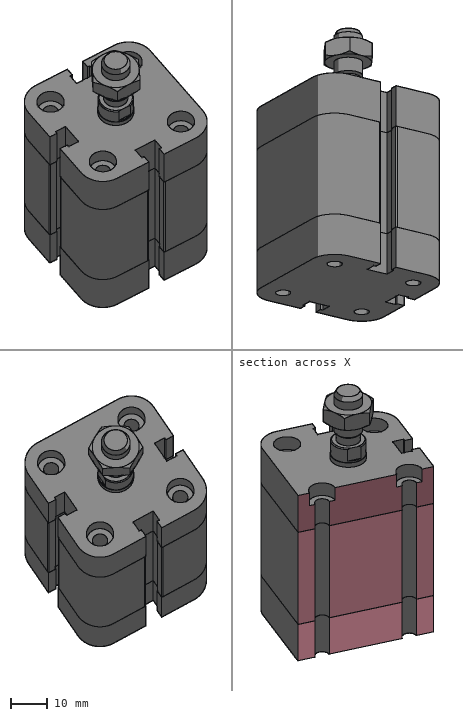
import cadquery as cq
import math

TOTAL_HEIGHT = 76.0
BODY_SIDE = 40.5
CORNER_RADIUS = 7.2

CAP_HEIGHT = 12.0
BARREL_HEIGHT = 30.0
BARREL_BASE = CAP_HEIGHT
FRONT_CAP_BASE = BARREL_BASE + BARREL_HEIGHT
BODY_TOP = FRONT_CAP_BASE + CAP_HEIGHT

SLOT_MOUTH_WIDTH = 5.1
SLOT_INNER_WIDTH = 6.5
SLOT_DEPTH = 5.7
CAP_LIP = 2.4
BARREL_LIP = 2.3
BARREL_CHAMFER_WIDTH = 0.45
BARREL_CHAMFER_DEPTH = 0.2
SLOT_ANGLES = (0, 180, 270)

HOLE_SPACING = 26.0
HOLE_DIAMETER = 4.2
COUNTERBORE_DIAMETER = 7.5
COUNTERBORE_DEPTH = 4.1

ROD_DIAMETER = 10.0
ROD_COLLAR = 1.45
SHOULDER_DIAMETER = 9.8
SHOULDER_TOP = 6.0
SHOULDER_CHAMFER = 0.3
FLATS_WIDTH = 9.0
FLATS_BASE = 2.0
NECK_DIAMETER = 6.8
THREAD_BASE = 8.4
THREAD_DIAMETER = 8.0
TIP_DIAMETER = 6.45
TIP_CHAMFER_HEIGHT = 1.4

NUT_WIDTH = 13.0
NUT_BASE = 13.0
NUT_HEIGHT = 5.0
NUT_FACE_DIAMETER = NUT_WIDTH
NUT_CHAMFER_ANGLE = 30


def slot_cutter(height, lip, chamfer_width, chamfer_depth):
    """T-slot opening through the +X side, with optionally chamfered mouth edges."""
    outer = BODY_SIDE / 2
    floor = outer - SLOT_DEPTH
    shelf = outer - lip
    mouth = SLOT_MOUTH_WIDTH / 2
    inner = SLOT_INNER_WIDTH / 2
    half = [(floor, inner), (shelf, inner), (shelf, mouth)]
    if chamfer_depth > 0:
        half.append((outer - chamfer_depth, mouth))
    half.append((outer, mouth + chamfer_width))
    mirrored = [(x, -y) for x, y in reversed(half)]
    return cq.Workplane("XY").polyline(half + mirrored).close().extrude(height)


def square_section(base, height, lip, chamfer_width=0.0, chamfer_depth=0.0):
    """Rounded square block with T-slots in three sides and four corner holes."""
    block = cq.Workplane("XY").rect(BODY_SIDE, BODY_SIDE).extrude(height)
    block = block.edges("|Z").fillet(CORNER_RADIUS)
    slot = slot_cutter(height, lip, chamfer_width, chamfer_depth)
    for angle in SLOT_ANGLES:
        block = block.cut(slot.rotate((0, 0, 0), (0, 0, 1), angle))
    holes = (
        cq.Workplane("XY")
        .rect(HOLE_SPACING, HOLE_SPACING, forConstruction=True)
        .vertices()
        .circle(HOLE_DIAMETER / 2)
        .extrude(height)
    )
    return block.cut(holes).translate((0, 0, base))


def make_end_cap():
    return square_section(0, CAP_HEIGHT, CAP_LIP)


def make_barrel():
    return square_section(
        BARREL_BASE,
        BARREL_HEIGHT,
        BARREL_LIP,
        BARREL_CHAMFER_WIDTH,
        BARREL_CHAMFER_DEPTH,
    )


def make_front_cap():
    """Cap with counterbored fixing holes and a central bore for the rod."""
    cap = square_section(FRONT_CAP_BASE, CAP_HEIGHT, CAP_LIP)
    counterbores = (
        cq.Workplane("XY", origin=(0, 0, BODY_TOP))
        .rect(HOLE_SPACING, HOLE_SPACING, forConstruction=True)
        .vertices()
        .circle(COUNTERBORE_DIAMETER / 2)
        .extrude(-COUNTERBORE_DEPTH)
    )
    rod_bore = (
        cq.Workplane("XY", origin=(0, 0, FRONT_CAP_BASE))
        .circle(ROD_DIAMETER / 2)
        .extrude(CAP_HEIGHT)
    )
    return cap.cut(counterbores).cut(rod_bore)


def make_rod():
    """Turned rod, from the foot of the front cap's bore up to its chamfered tip."""
    rod_radius = ROD_DIAMETER / 2
    shoulder_radius = SHOULDER_DIAMETER / 2
    neck_radius = NECK_DIAMETER / 2
    thread_radius = THREAD_DIAMETER / 2
    collar_top = BODY_TOP + ROD_COLLAR
    shoulder_top = BODY_TOP + SHOULDER_TOP
    thread_base = BODY_TOP + THREAD_BASE
    thread_chamfer = thread_radius - neck_radius
    profile = [
        (0, FRONT_CAP_BASE),
        (rod_radius, FRONT_CAP_BASE),
        (rod_radius, collar_top),
        (shoulder_radius, collar_top),
        (shoulder_radius, shoulder_top - SHOULDER_CHAMFER),
        (shoulder_radius - SHOULDER_CHAMFER, shoulder_top),
        (neck_radius, shoulder_top),
        (neck_radius, thread_base),
        (thread_radius, thread_base + thread_chamfer),
        (thread_radius, TOTAL_HEIGHT - TIP_CHAMFER_HEIGHT),
        (TIP_DIAMETER / 2, TOTAL_HEIGHT),
        (0, TOTAL_HEIGHT),
    ]
    rod = cq.Workplane("XZ").polyline(profile).close().revolve(360, (0, 0, 0), (0, 1, 0))

    flats_base = BODY_TOP + FLATS_BASE
    flats_height = SHOULDER_TOP - FLATS_BASE
    zone = (
        cq.Workplane("XY", origin=(0, 0, flats_base))
        .circle(ROD_DIAMETER)
        .extrude(flats_height)
    )
    kept_web = (
        cq.Workplane("XY", origin=(0, 0, flats_base))
        .rect(FLATS_WIDTH, 2 * ROD_DIAMETER)
        .extrude(flats_height)
    )
    return rod.cut(zone.cut(kept_web))


def make_nut():
    """Hexagonal nut with points on +Y and -Y, its corners chamfered at both ends."""
    across_corners = NUT_WIDTH / math.cos(math.pi / 6)
    base = BODY_TOP + NUT_BASE
    top = base + NUT_HEIGHT
    hexagon = (
        cq.Workplane("XY", origin=(0, 0, base))
        .polygon(6, across_corners)
        .extrude(NUT_HEIGHT)
        .rotate((0, 0, 0), (0, 0, 1), 90)
    )

    face_radius = NUT_FACE_DIAMETER / 2
    corner_radius = across_corners / 2
    chamfer_height = (corner_radius - face_radius) * math.tan(math.radians(NUT_CHAMFER_ANGLE))
    envelope = (
        cq.Workplane("XZ")
        .polyline([
            (0, base),
            (face_radius, base),
            (corner_radius, base + chamfer_height),
            (corner_radius, top - chamfer_height),
            (face_radius, top),
            (0, top),
        ])
        .close()
        .revolve(360, (0, 0, 0), (0, 1, 0))
    )

    bore = cq.Workplane("XY", origin=(0, 0, base)).circle(THREAD_DIAMETER / 2).extrude(NUT_HEIGHT)
    return hexagon.intersect(envelope).cut(bore)


end_cap = make_end_cap()
barrel = make_barrel()
front_cap = make_front_cap()
rod = make_rod()
nut = make_nut()

result = cq.Compound.makeCompound([
    end_cap.val(),
    barrel.val(),
    front_cap.val(),
    rod.val(),
    nut.val(),
])